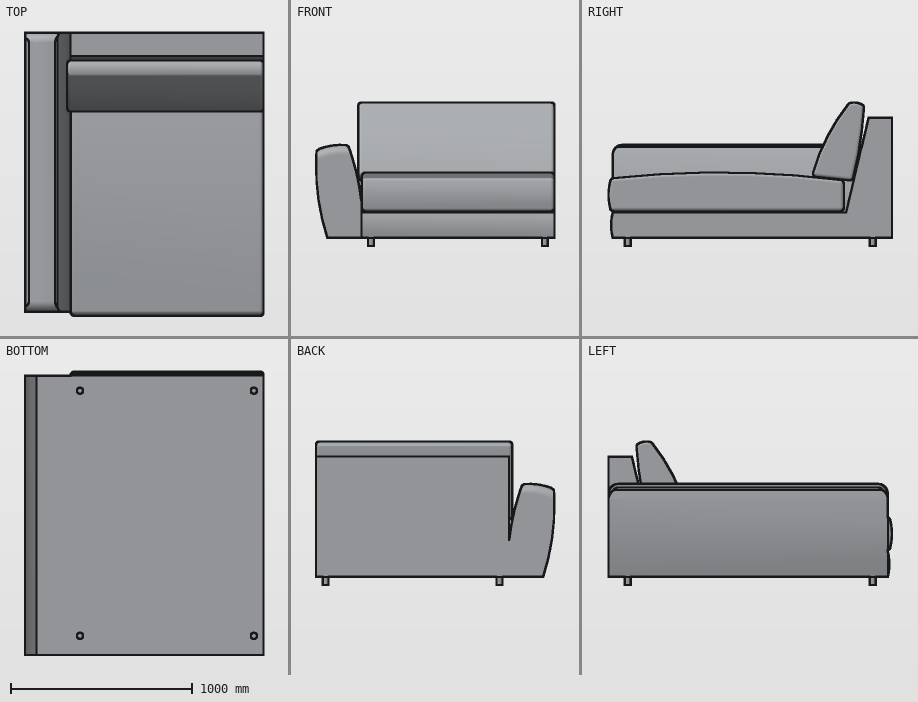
import cadquery as cq

right_x = 1313.0
back_y = 1562.0

leg_height = 45.0
leg_radius = 17.0
leg_xs = (303.0, 1260.0)
leg_ys = (106.0, 1455.0)

frame_front_y = 23.0
arm_width = 250.0
arm_outer_foot = (62.0, leg_height)
arm_outer_middle = (0, 422.0)
arm_outer_corner = (3.0, 531.0)
arm_crown_middle = (86.0, 555.0)
arm_inner_corner = (176.0, 557.0)
arm_inner_middle = (219.0, 425.0)
arm_inner_foot = (arm_width, 250.0)
arm_outer_bevel = ((3.0, 525.0), (20.0, 537.0))
arm_inner_bevel = ((181.0, 547.0), (167.0, 557.0))
arm_end_round = 55.0
base_top_z = 186.0
base_front_bulge = 10.0
backrest_top_z = 707.0
backrest_top_y = 1432.0
backrest_foot_y = 1309.0

seat_left_x = 253.0
seat_bottom_z = 192.0
seat_edge_top_z = 373.0
seat_back_top_z = 362.0
seat_top_z = 406.0
seat_edge_y = 14.0
seat_back_y = 1296.0
seat_round = 20.0

pillow_left_x = 233.0
pillow_top_z = 792.0
pillow_round = 19.0
pillow_front_foot = (1121.0, 384.0)
pillow_front_middle = (1209.0, 610.0)
pillow_front_top = (1325.0, 787.0)
pillow_crown_y = 1359.0
pillow_back_top = (1409.0, 771.0)
pillow_back_middle = (1387.0, 570.0)
pillow_back_foot = (1343.0, 360.0)


def along_x(left, right, profile):
    """Extrude a (Y, Z) outline from the left X to the right X."""
    return profile(cq.Workplane("YZ", origin=(left, 0, 0))).extrude(right - left)


def arm_length(section):
    """Extrude an (X, Z) outline over the length of the armrest."""
    return section.extrude(back_y - frame_front_y)


def make_arm():
    """Armrest with a bowed outer side, a crowned top and a curved inner side."""
    section_plane = cq.Workplane("XZ", origin=(0, back_y, 0))
    arm = arm_length(
        section_plane.moveTo(arm_width, leg_height)
        .lineTo(*arm_outer_foot)
        .threePointArc(arm_outer_middle, arm_outer_corner)
        .threePointArc(arm_crown_middle, arm_inner_corner)
        .threePointArc(arm_inner_middle, arm_inner_foot)
        .close()
    )

    end_arcs = cq.selectors.BoxSelector(
        (arm_outer_corner[0], 0, arm_outer_corner[1]),
        (arm_inner_corner[0], back_y + 15, pillow_top_z),
    )
    arm = arm.edges(end_arcs).edges("not |Y").fillet(arm_end_round)

    for low, high in (arm_outer_bevel, arm_inner_bevel):
        run = high[0] - low[0]
        rise = high[1] - low[1]
        wedge = [
            (low[0] - run, low[1] - rise),
            (high[0] + run, high[1] + rise),
            (low[0] - run, high[1] + rise),
        ]
        arm = arm.cut(arm_length(section_plane.polyline(wedge).close()))
    return arm


def base_profile(sketch):
    """Base with a bulging front and a backrest with a leaning front face."""
    middle_z = (leg_height + base_top_z) / 2
    return (
        sketch.moveTo(back_y, leg_height)
        .lineTo(frame_front_y, leg_height)
        .threePointArc((frame_front_y - base_front_bulge, middle_z), (frame_front_y, base_top_z))
        .lineTo(backrest_foot_y, base_top_z)
        .lineTo(backrest_top_y, backrest_top_z)
        .lineTo(back_y, backrest_top_z)
        .close()
    )


def seat_profile(sketch):
    """Seat cushion with a bulging front and a crowned top."""
    middle_z = (seat_bottom_z + seat_edge_top_z) / 2
    middle_y = (seat_edge_y + seat_back_y) / 2
    return (
        sketch.moveTo(seat_back_y, seat_bottom_z)
        .lineTo(seat_edge_y, seat_bottom_z)
        .threePointArc((0, middle_z), (seat_edge_y, seat_edge_top_z))
        .threePointArc((middle_y, seat_top_z), (seat_back_y, seat_back_top_z))
        .close()
    )


def pillow_profile(sketch):
    """Wedge-shaped back cushion with bulging front, top and back."""
    return (
        sketch.moveTo(*pillow_back_foot)
        .lineTo(*pillow_front_foot)
        .threePointArc(pillow_front_middle, pillow_front_top)
        .threePointArc((pillow_crown_y, pillow_top_z), pillow_back_top)
        .threePointArc(pillow_back_middle, pillow_back_foot)
        .close()
    )


def make_leg(x, y):
    return cq.Workplane("XY", origin=(x, y, 0)).circle(leg_radius).extrude(leg_height)


frame = make_arm().union(along_x(arm_width, right_x, base_profile))
seat = along_x(seat_left_x, right_x, seat_profile).edges().fillet(seat_round)
pillow = along_x(pillow_left_x, right_x, pillow_profile).edges().fillet(pillow_round)
legs = [make_leg(x, y) for x in leg_xs for y in leg_ys]

result = cq.Compound.makeCompound([
    frame.val(),
    seat.val(),
    pillow.val(),
    *[leg.val() for leg in legs],
])